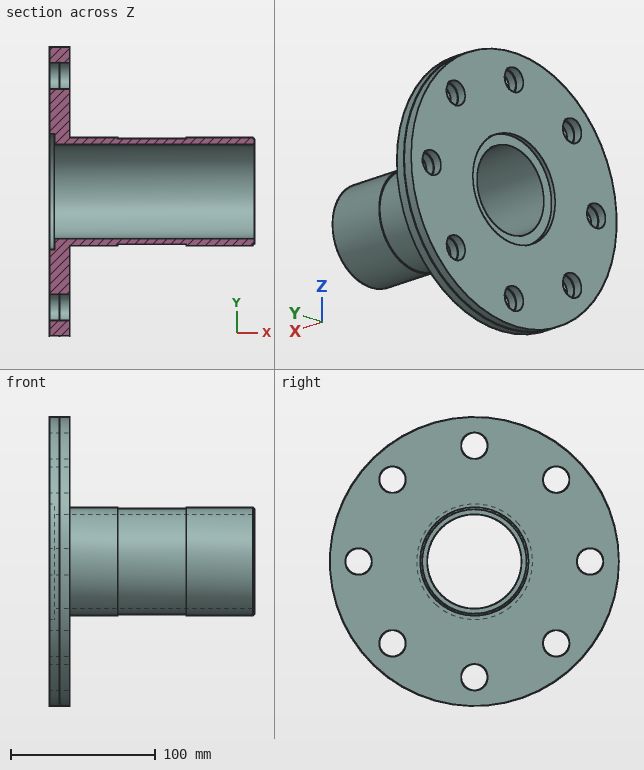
import cadquery as cq

total_length = 142.0
flange_diameter = 200.0

tube_diameter = 75.0
bore_diameter = 65.0
waist_diameter = 73.5
waist_length = total_length / 3
waist_start = waist_length
tube_end_chamfer = 1.5

recess_diameter = 80.0
recess_depth = 3.5

plate_thickness = 7.1
joint_edge_chamfer = 0.3

bolt_count = 8
bolt_hole_diameter = 18.0
bolt_circle_diameter = 160.0


def cylinder(diameter, start, length):
    """Solid cylinder on the X axis, from X = start."""
    return cq.Workplane("YZ", origin=(start, 0, 0)).circle(diameter / 2).extrude(length)


def ring(outer_diameter, inner_diameter, start, length):
    """Ring on the X axis, from X = start."""
    return cylinder(outer_diameter, start, length).cut(cylinder(inner_diameter, start, length))


def make_plate(start, joint_face):
    """Drilled flange plate from X = start, with the rim and hole edges of its joint face chamfered."""
    bolt_holes = (
        cq.Workplane("YZ", origin=(start, 0, 0))
        .polarArray(bolt_circle_diameter / 2, 0, 360, bolt_count)
        .circle(bolt_hole_diameter / 2)
        .extrude(plate_thickness)
    )
    plate = cylinder(flange_diameter, start, plate_thickness).cut(bolt_holes)
    return plate.faces(joint_face).edges().chamfer(joint_edge_chamfer)


def make_flange():
    """Two plates whose facing chamfers leave a fine V-groove around the rim and in every bolt hole."""
    front_plate = make_plate(0, ">X")
    back_plate = make_plate(plate_thickness, "<X")
    return front_plate.union(back_plate)


def make_tube():
    """Solid tube body with a chamfered free end and a slightly reduced waist."""
    tube = cylinder(tube_diameter, 0, total_length).faces(">X").chamfer(tube_end_chamfer)
    return tube.cut(ring(tube_diameter, waist_diameter, waist_start, waist_length))


def make_part():
    """Flanged tube with its through bore and face recess."""
    body = make_flange().union(make_tube())
    body = body.cut(cylinder(bore_diameter, 0, total_length))
    return body.cut(cylinder(recess_diameter, 0, recess_depth))


result = make_part()